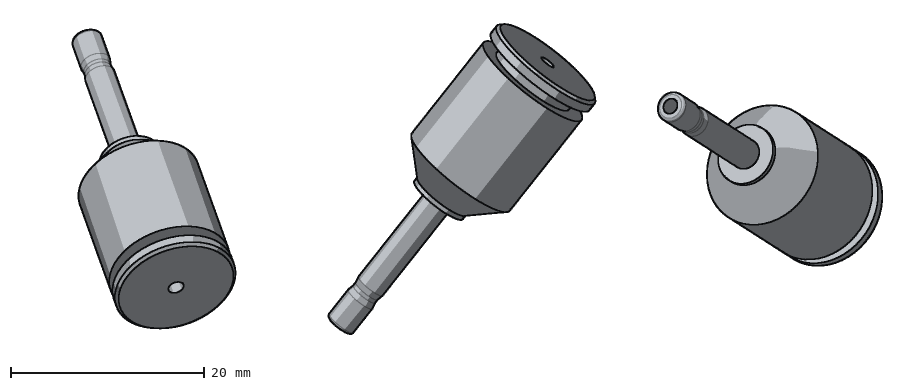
import cadquery as cq

total_length = 35.55
body_radius = 6.47

stem_radius = 1.6
bore_radius = 0.82
tip_rounding = 0.32
stem_groove_start = 3.55
stem_groove_slope = 0.68
stem_groove_floor = 0.43
stem_groove_depth = 0.15

collar_start = 16.93
collar_length = 0.55
collar_radius = 3.2

ring_length = 1.28
ring_chamfer = 0.32
neck_length = 1.28
neck_radius = 4.75

collar_end = collar_start + collar_length
cone_end = collar_end + (body_radius - collar_radius)
ring_start = total_length - ring_length
body_end = ring_start - neck_length


def cylinder(start, end, radius):
    """Solid cylinder along X between two positions."""
    return cq.Workplane("YZ", origin=(start, 0, 0)).circle(radius).extrude(end - start)


def revolve_about_x(profile):
    """Revolve a closed XY profile a full turn about the X axis."""
    return profile.close().revolve(360, (0, 0, 0), (1, 0, 0))


def make_stem():
    stem = cylinder(0, collar_end, stem_radius).faces("<X").edges().fillet(tip_rounding)
    floor_start = stem_groove_start + stem_groove_slope
    floor_end = floor_start + stem_groove_floor
    floor_radius = stem_radius - stem_groove_depth
    groove = revolve_about_x(
        cq.Workplane("XY")
        .moveTo(stem_groove_start, stem_radius)
        .lineTo(floor_start, floor_radius)
        .lineTo(floor_end, floor_radius)
        .lineTo(floor_end + stem_groove_slope, stem_radius)
    )
    return stem.cut(groove)


def make_body():
    return revolve_about_x(
        cq.Workplane("XY")
        .moveTo(collar_start, 0)
        .lineTo(collar_start, collar_radius)
        .lineTo(collar_end, collar_radius)
        .lineTo(cone_end, body_radius)
        .lineTo(body_end, body_radius)
        .lineTo(body_end, 0)
    )


def make_release_ring():
    neck = cylinder(body_end, ring_start, neck_radius)
    ring = cylinder(ring_start, total_length, body_radius)
    ring = ring.faces(">X").edges().chamfer(ring_chamfer)
    return neck.union(ring)


bore = cylinder(0, total_length, bore_radius)
result = make_stem().union(make_body()).union(make_release_ring()).cut(bore)